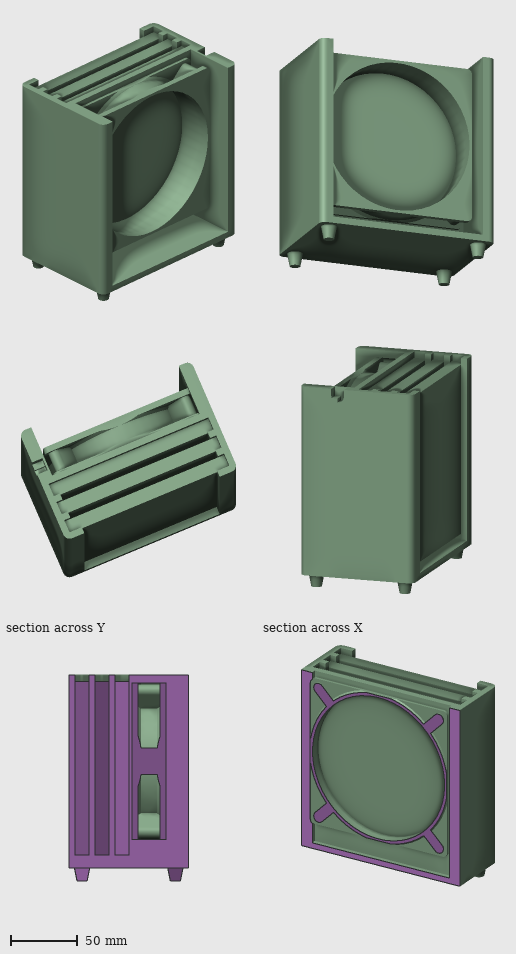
import cadquery as cq
import math


WIDTH = 90.0
LENGTH = 140.0
HEIGHT = 145.1
WALL = 5.0
SIDE_WALL = 2 * WALL
CORNER_RADIUS = 10.0 / 2
FRONT_X = -WIDTH / 2
INNER_LENGTH = LENGTH - 2 * SIDE_WALL
WINDOW_LENGTH = 110.0

PANEL_COUNT = 3
PANEL_THICKNESS = 10.0
PANEL_PITCH = 15.0
PANEL_LENGTH = LENGTH - 2 * WALL
PANEL_BOTTOM = 2 * WALL
PANEL_TOP = HEIGHT - WALL
FIRST_SLOT_X = FRONT_X + WALL
LAST_SLOT_END_X = FIRST_SLOT_X + (PANEL_COUNT - 1) * PANEL_PITCH + PANEL_THICKNESS

FAN_SIZE = 120.0
FAN_THICKNESS = 25.0
FAN_CORNER_RADIUS = 4.0
FAN_BORE = 116.0
FLANGE_GAP = 16.0
RING_FLAT = 12.0
RING_RADIUS = FAN_SIZE / 2
RING_FLARE = (FLANGE_GAP - RING_FLAT) / 2
POST_RADIUS = 4.5
POST_INSET = 7.1
FAN_X = FRONT_X + 60.3
FAN_Y = -2.0
FAN_Z = HEIGHT - WALL - FAN_SIZE / 2

NOTCH_X = FRONT_X + 60.0
NOTCH_WIDTH = 10.0
NOTCH_HEIGHT = 10.0
NOTCH_DEPTH = 8.4
INSERT_HEIGHT = 3.1

FOOT_TOP_DIAMETER = 12.0
FOOT_BOTTOM_DIAMETER = 8.0
FOOT_HEIGHT = 9.9
FOOT_INSET = 10.0


def block(x_range, length, z_range):
    """Box centred on Y, spanning the given X and Z ranges."""
    x_start, x_end = x_range
    z_start, z_end = z_range
    return (
        cq.Workplane("XY")
        .box(x_end - x_start, length, z_end - z_start, centered=(False, True, False))
        .translate((x_start, 0, z_start))
    )


def fan_plane(offset=0.0):
    """Plane across the fan axis, at an X offset from the fan's middle."""
    return cq.Workplane("YZ", origin=(FAN_X + offset, FAN_Y, FAN_Z))


def fan_square(thickness, offset):
    """Square slab with the fan's rounded corners, starting at an X offset from the fan's middle."""
    return (
        fan_plane(offset)
        .rect(FAN_SIZE, FAN_SIZE)
        .extrude(thickness)
        .edges("|X")
        .fillet(FAN_CORNER_RADIUS)
    )


def panel_block(index):
    """Space filled by one panel, counted from the front."""
    start = FIRST_SLOT_X + index * PANEL_PITCH
    return block((start, start + PANEL_THICKNESS), PANEL_LENGTH, (PANEL_BOTTOM, PANEL_TOP))


def panel_slot(index):
    """Slot for one panel, open at the top of the housing."""
    start = FIRST_SLOT_X + index * PANEL_PITCH
    return block((start, start + PANEL_THICKNESS), PANEL_LENGTH, (PANEL_BOTTOM, HEIGHT))


def cable_notch():
    """Round-bottomed notch cut from the outside of the +Y wall."""
    radius = NOTCH_WIDTH / 2
    centre_z = HEIGHT - NOTCH_HEIGHT + radius
    return (
        cq.Workplane("XZ", origin=(NOTCH_X, LENGTH / 2, 0))
        .moveTo(-radius, HEIGHT)
        .lineTo(-radius, centre_z)
        .threePointArc((0, centre_z - radius), (radius, centre_z))
        .lineTo(radius, HEIGHT)
        .close()
        .extrude(NOTCH_DEPTH)
    )


def make_housing():
    housing = cq.Workplane("XY").box(WIDTH, LENGTH, HEIGHT, centered=(True, True, False))
    housing = housing.edges("|Z").fillet(CORNER_RADIUS)

    housing = housing.cut(block((FRONT_X, FIRST_SLOT_X), WINDOW_LENGTH, (WALL, HEIGHT)))
    housing = housing.cut(block((FIRST_SLOT_X, LAST_SLOT_END_X), INNER_LENGTH, (WALL, HEIGHT)))
    for index in range(PANEL_COUNT):
        housing = housing.cut(panel_slot(index))

    housing = housing.cut(block((LAST_SLOT_END_X + WALL, WIDTH / 2), INNER_LENGTH, (WALL, HEIGHT)))

    housing = housing.cut(fan_square(FAN_THICKNESS, -FAN_THICKNESS / 2))
    air_opening = fan_plane().circle(FAN_BORE / 2).extrude(LAST_SLOT_END_X - FAN_X)
    housing = housing.cut(air_opening)

    return housing.cut(cable_notch())


def fan_ring():
    """Ring between the flanges, flaring out where it meets each one; trimmed to the square."""
    half_gap = FLANGE_GAP / 2
    half_flat = RING_FLAT / 2
    flared = RING_RADIUS + RING_FLARE
    ring = (
        cq.Workplane("XY", origin=(FAN_X, FAN_Y, FAN_Z))
        .moveTo(-half_gap, 0)
        .lineTo(-half_gap, flared)
        .lineTo(-half_flat, RING_RADIUS)
        .lineTo(half_flat, RING_RADIUS)
        .lineTo(half_gap, flared)
        .lineTo(half_gap, 0)
        .close()
        .revolve(360, (0, 0, 0), (1, 0, 0))
    )
    return ring.intersect(fan_square(FLANGE_GAP, -half_gap))


def corner_webs():
    """Two diagonal webs whose rounded ends are the four screw posts."""
    post_reach = (FAN_SIZE / 2 - POST_INSET) * math.sqrt(2)
    web_length = 2 * (post_reach + POST_RADIUS)
    web_width = 2 * POST_RADIUS
    rising_web = fan_plane(-FLANGE_GAP / 2).slot2D(web_length, web_width, 45).extrude(FLANGE_GAP)
    falling_web = fan_plane(-FLANGE_GAP / 2).slot2D(web_length, web_width, -45).extrude(FLANGE_GAP)
    return rising_web.union(falling_web)


def make_fan_frame():
    flange_thickness = (FAN_THICKNESS - FLANGE_GAP) / 2
    frame = fan_ring().union(corner_webs())
    for start in (-FAN_THICKNESS / 2, FLANGE_GAP / 2):
        frame = frame.union(fan_square(flange_thickness, start))
    bore = fan_plane(-FAN_THICKNESS / 2).circle(FAN_BORE / 2).extrude(FAN_THICKNESS)
    return frame.cut(bore)


def make_notch_insert():
    """Flat-topped insert between the middle of the notch and its +X side."""
    bottom_right = cq.Workplane("XY", origin=(NOTCH_X, LENGTH / 2, HEIGHT - NOTCH_HEIGHT)).box(
        NOTCH_WIDTH / 2,
        2 * NOTCH_DEPTH,
        INSERT_HEIGHT,
        centered=(False, True, False),
    )
    return cable_notch().intersect(bottom_right)


def make_foot(x, y):
    """Foot tapering downward from the underside of the housing."""
    return (
        cq.Workplane("XY", origin=(x, y, 0))
        .circle(FOOT_TOP_DIAMETER / 2)
        .workplane(offset=-FOOT_HEIGHT)
        .circle(FOOT_BOTTOM_DIAMETER / 2)
        .loft(ruled=True)
    )


housing = make_housing()
panels = [panel_block(index) for index in range(PANEL_COUNT)]
fan_frame = make_fan_frame()
notch_insert = make_notch_insert()
foot_x = WIDTH / 2 - FOOT_INSET
foot_y = LENGTH / 2 - FOOT_INSET
feet = [make_foot(x, y) for x in (-foot_x, foot_x) for y in (-foot_y, foot_y)]

result = cq.Compound.makeCompound(
    [
        housing.val(),
        *[panel.val() for panel in panels],
        fan_frame.val(),
        notch_insert.val(),
        *[foot.val() for foot in feet],
    ]
)